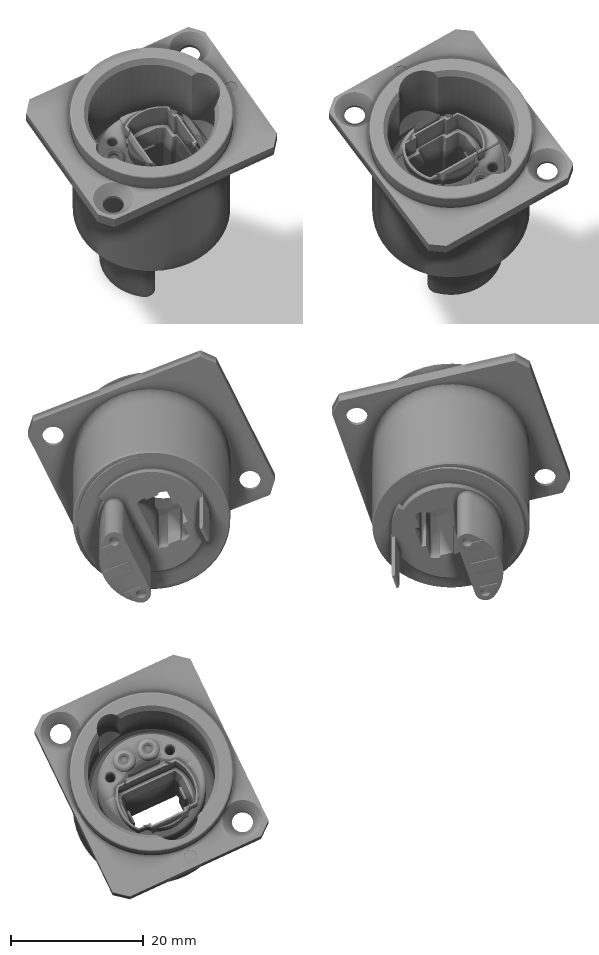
import cadquery as cq
import math


flange_x = 26.0
flange_y = 31.0
flange_thickness = 1.95
corner_cut_x = 2.05
corner_cut_y = 1.7
screw_x = 9.5
screw_y = 12.02
screw_hole_radius = 1.6
countersink_radius = 3.05
countersink_angle = 90
marker_y = 13.8
marker_radius = 1.0
marker_depth = 0.15

total_height = 36.2
rim_radius = 12.3
rim_height = 2.75
rim_round = 0.25
barrel_radius = 11.87
barrel_bottom = -21.55
barrel_chamfer = 0.2

mouth_radius = 10.2
bore_radius = 9.6
mouth_depth = 0.87
bore_depth = 13.25
floor_radius = 9.12
floor_depth = 13.75
bore_end_z = rim_height - bore_depth
floor_z = rim_height - floor_depth

latch_pocket_y = 7.65
latch_pocket_radius = 3.7
key_pocket_x = 2.65
key_pocket_y = -8.65
key_pocket_radius = 2.17
drill_tip_angle = 120
pocket_depth = 11.87
pocket_end_z = rim_height - pocket_depth

insert_radius = 8.2
insert_edge = 0.18
insert_face_z = -7.4
lower_face_z = insert_face_z - 0.35
lower_face_edge_y = -1.0
upper_half_round = 0.55
cap_edge_y = 5.0
cap_height = 0.2

socket_y = 1.95
collar_radius = 5.25
collar_inner_radius = 4.55
collar_top_z = rim_height - 7.4
collar_dish_depth = 1.8
frame_radius = 6.23
frame_half_height = 3.85
frame_top_z = rim_height - 7.95
frame_wall = 0.33
frame_chamfer = 0.15
upper_key_half_width = 3.05
upper_key_top = 6.65
lower_key_half_width = 3.25
lower_key_bottom = -2.57
upper_ramp_run = 0.5
lower_ramp_run = 0.72
key_ramp_drop = 1.45
socket_recess_depth = 4.35
key_recess_wall = 0.25
lead_in_height = 2.9
lead_in_angle = 11
opening_half_width = 4.5
opening_bottom = -0.58
opening_top = 4.4
opening_corner_x = 0.33
opening_corner_y = 0.85
opening_notch_half_width = 1.8
opening_notch_top = 5.18
side_rib_thickness = 0.33
side_rib_length = 2.03

post_x = 2.0
post_y = -5.35
post_base_radius = 1.95
post_base_height = 0.1
post_radius = 1.75
post_height = 0.8
post_round = 0.7
post_bore_radius = 0.65
post_bore_depth = 0.72
post_bore_chamfer = 0.33
vent_x = 4.95
vent_y = -3.95
vent_radius = 0.75
vent_chamfer = 0.18

base_radius = 8.3
base_height = 1.12
base_chamfer = 0.18
base_bottom = barrel_bottom - base_height
sector_radius = 8.98
sector_start = -37
sector_end = 134
washer_radius = 11.1
washer_thickness = 0.4
washer_tilt = 4
washer_hinge_y = -2.9

foot_height = 0.15
foot_bottom = rim_height - total_height
block_bottom = foot_bottom + foot_height
block_inner_y = -2.4
block_outer_radius = 7.9
block_corner_radius = 1.6
foot_inner_y = -3.48
side_foot_outer_y = -6.23
middle_foot_outer_y = -7.55
side_foot_x = 4.2
side_foot_width = 0.87
middle_foot_width = 1.75

tab_width = 2.35
tab_thickness = 0.55
tab_outer_y = 8.98
tab_bottom = -32.4
tab_tip_length = 0.7
tab_tip_thickness = 0.35


def cylinder(radius, bottom, top, x=0, y=0):
    """Vertical cylinder between two Z levels."""
    return cq.Workplane("XY", origin=(x, y, bottom)).circle(radius).extrude(top - bottom)


def block(x_min, x_max, y_min, y_max, bottom, top):
    """Box given by its limits along the three axes."""
    return cq.Workplane("XY").box(
        x_max - x_min, y_max - y_min, top - bottom, centered=False
    ).translate((x_min, y_min, bottom))


def cone(bottom_radius, top_radius, bottom, top, x=0, y=0):
    """Vertical cone frustum between two Z levels."""
    solid = cq.Solid.makeCone(bottom_radius, top_radius, top - bottom, cq.Vector(x, y, bottom))
    return cq.Workplane(solid)


def make_flange():
    half_x = flange_x / 2
    half_y = flange_y / 2
    outline = [
        (half_x, half_y - corner_cut_y),
        (half_x - corner_cut_x, half_y),
        (corner_cut_x - half_x, half_y),
        (-half_x, half_y - corner_cut_y),
        (-half_x, corner_cut_y - half_y),
        (corner_cut_x - half_x, -half_y),
        (half_x - corner_cut_x, -half_y),
        (half_x, corner_cut_y - half_y),
    ]
    flange = cq.Workplane("XY").polyline(outline).close().extrude(-flange_thickness)
    flange = (
        flange.faces(">Z").workplane(origin=(0, 0, 0))
        .pushPoints([(-screw_x, screw_y), (screw_x, -screw_y)])
        .cskHole(2 * screw_hole_radius, 2 * countersink_radius, countersink_angle)
    )
    return flange.cut(cylinder(marker_radius, -marker_depth, 0, y=marker_y))


def drilled_pocket(x, y, radius):
    """Round pocket from the rim, ending in a conical drill tip."""
    tip_height = radius / math.tan(math.radians(drill_tip_angle / 2))
    tip = cone(0, radius, pocket_end_z - tip_height, pocket_end_z, x, y)
    return cylinder(radius, pocket_end_z, rim_height, x, y).union(tip)


def make_housing():
    rim = cylinder(rim_radius, 0, rim_height).faces(">Z").edges().fillet(rim_round)
    barrel = cylinder(barrel_radius, barrel_bottom, 0).faces("<Z").chamfer(barrel_chamfer)
    mouth_end_z = rim_height - mouth_depth
    cavity_profile = [
        (0, floor_z),
        (floor_radius, floor_z),
        (bore_radius, bore_end_z),
        (bore_radius, mouth_end_z),
        (mouth_radius, rim_height),
        (0, rim_height),
    ]
    cavity = cq.Workplane("XZ").polyline(cavity_profile).close().revolve(360, (0, 0), (0, 1))
    return (
        make_flange().union(barrel).union(rim)
        .cut(cavity)
        .cut(drilled_pocket(0, latch_pocket_y, latch_pocket_radius))
        .cut(drilled_pocket(key_pocket_x, key_pocket_y, key_pocket_radius))
    )


def frame_prism(inset, bottom, top):
    """Round socket outline with two flat sides, moved inward by the inset, as a prism."""
    half_height = frame_half_height - inset
    side_limit = frame_radius - inset
    return cylinder(side_limit, bottom, top, y=socket_y).intersect(
        block(-side_limit, side_limit, socket_y - half_height, socket_y + half_height, bottom, top)
    )


def make_key(half_width, end_y, ramp_y):
    """Block beside the frame whose upper face slopes down from ramp_y to end_y."""
    profile = [
        (socket_y, lower_face_z),
        (end_y, lower_face_z),
        (end_y, frame_top_z - key_ramp_drop),
        (ramp_y, frame_top_z),
        (socket_y, frame_top_z),
    ]
    return cq.Workplane("YZ").polyline(profile).close().extrude(half_width, both=True)


def opening_prism(bottom, height, taper):
    """Opening outline with bevelled corners and a latch notch, extruded upward."""
    corner_x = opening_half_width - opening_corner_x
    upper_bevel_y = opening_top - opening_corner_y
    lower_bevel_y = opening_bottom + opening_corner_y
    right_side = [
        (corner_x, opening_bottom),
        (opening_half_width, lower_bevel_y),
        (opening_half_width, upper_bevel_y),
        (corner_x, opening_top),
        (opening_notch_half_width, opening_top),
        (opening_notch_half_width, opening_notch_top),
    ]
    left_side = [(-x, y) for x, y in reversed(right_side)]
    outline = cq.Workplane("XY", origin=(0, 0, bottom)).polyline(right_side + left_side).close()
    return outline.extrude(height, taper=taper)


def make_opening():
    """Through opening that widens upward into the socket recess, with a rib on each side."""
    recess_floor_z = frame_top_z - socket_recess_depth
    straight_top_z = recess_floor_z - lead_in_height
    straight = opening_prism(base_bottom, straight_top_z - base_bottom, 0)
    lead_in = opening_prism(straight_top_z, lead_in_height, -lead_in_angle)
    opening = straight.union(lead_in)
    middle_y = (opening_top + opening_bottom) / 2
    rib_inner_x = opening_half_width - side_rib_thickness
    rib_y_min = middle_y - side_rib_length / 2
    rib_y_max = middle_y + side_rib_length / 2
    right_rib = block(
        rib_inner_x, opening_half_width, rib_y_min, rib_y_max, base_bottom, straight_top_z
    )
    return opening.cut(right_rib).cut(right_rib.mirror("YZ"))


def make_contact_post(x):
    top = lower_face_z + post_height
    base = cylinder(post_base_radius, lower_face_z, lower_face_z + post_base_height, x, post_y)
    dome = cylinder(post_radius, lower_face_z, top, x, post_y).faces(">Z").edges().fillet(post_round)
    bore = cylinder(post_bore_radius, top - post_bore_depth, top, x, post_y)
    lead_in = cone(post_bore_radius, post_bore_radius + post_bore_chamfer,
                   top - post_bore_chamfer, top, x, post_y)
    return base.union(dome).cut(bore).cut(lead_in)


def make_insert_body():
    """Round insert with a raised upper half and a slightly higher cap at its +Y end."""
    r = insert_radius
    base = cylinder(r, floor_z, lower_face_z).faces(">Z").chamfer(insert_edge)
    upper_half = cylinder(r, lower_face_z - insert_edge, insert_face_z).intersect(
        block(-r, r, lower_face_edge_y, r, floor_z, insert_face_z)
    )
    upper_half = upper_half.edges("|Z and <Y").fillet(upper_half_round).faces(">Z").chamfer(insert_edge)
    cap_top = insert_face_z + cap_height
    cap = cylinder(r, lower_face_z, cap_top).intersect(block(-r, r, cap_edge_y, r, floor_z, cap_top))
    return base.union(upper_half).union(cap.faces(">Z").chamfer(insert_edge))


def make_collar():
    """Ring around the socket with a sharp upper edge, a conical inner side and gaps for the keys."""
    collar = cylinder(collar_radius, lower_face_z, collar_top_z, y=socket_y)
    dish = cone(collar_inner_radius, collar_radius, collar_top_z - collar_dish_depth,
                collar_top_z, y=socket_y)
    upper_gap = block(-upper_key_half_width, upper_key_half_width, socket_y, upper_key_top,
                      lower_face_z, collar_top_z)
    lower_gap = block(-lower_key_half_width, lower_key_half_width, lower_key_bottom, socket_y,
                      lower_face_z, collar_top_z)
    return collar.cut(dish).cut(upper_gap).cut(lower_gap)


def make_socket_recess():
    """Recess inside the frame, reaching out to a thin wall along the ridge of each key."""
    bottom = frame_top_z - socket_recess_depth
    upper_limit = upper_key_half_width - frame_wall
    lower_limit = lower_key_half_width - frame_wall
    upper_end = upper_key_top - upper_ramp_run - key_recess_wall
    lower_end = lower_key_bottom + lower_ramp_run + key_recess_wall
    return (
        frame_prism(frame_wall, bottom, collar_top_z)
        .union(block(-upper_limit, upper_limit, socket_y, upper_end, bottom, collar_top_z))
        .union(block(-lower_limit, lower_limit, lower_end, socket_y, bottom, collar_top_z))
    )


def make_insert():
    frame = frame_prism(0, lower_face_z, frame_top_z).faces(">Z").edges().chamfer(frame_chamfer)
    upper_key = make_key(upper_key_half_width, upper_key_top, upper_key_top - upper_ramp_run)
    lower_key = make_key(lower_key_half_width, lower_key_bottom, lower_key_bottom + lower_ramp_run)
    insert = make_insert_body()
    for piece in (make_collar(), frame, upper_key, lower_key):
        insert = insert.union(piece)
    for side in (-1, 1):
        insert = insert.union(make_contact_post(side * post_x))
    return insert.cut(make_socket_recess())


def make_base():
    """Disc behind the barrel with a wider sector around part of its edge."""
    disc = cylinder(base_radius, base_bottom, barrel_bottom).faces("<Z").chamfer(base_chamfer)

    def edge_point(angle):
        turn = math.radians(angle)
        return sector_radius * math.cos(turn), sector_radius * math.sin(turn)

    sector = (
        cq.Workplane("XY", origin=(0, 0, base_bottom))
        .lineTo(*edge_point(sector_start))
        .threePointArc(edge_point((sector_start + sector_end) / 2), edge_point(sector_end))
        .close()
        .extrude(base_height)
    )
    return disc.union(sector)


def make_washer():
    """Washer tilted about X so that only its -Y part stands out of the barrel."""
    washer = cylinder(washer_radius, barrel_bottom - washer_thickness, barrel_bottom)
    hinge_start = (0, washer_hinge_y, barrel_bottom)
    hinge_end = (1, washer_hinge_y, barrel_bottom)
    return washer.rotate(hinge_start, hinge_end, washer_tilt)


def make_plug_block():
    r = block_outer_radius
    plug = cylinder(r, block_bottom, base_bottom).intersect(
        block(-r, r, -r, block_inner_y, block_bottom, base_bottom)
    )
    plug = plug.edges("|Z and >Y").fillet(block_corner_radius)
    feet = [
        (-side_foot_x, side_foot_width, side_foot_outer_y),
        (0, middle_foot_width, middle_foot_outer_y),
        (side_foot_x, side_foot_width, side_foot_outer_y),
    ]
    for x, width, outer_y in feet:
        plug = plug.union(block(
            x - width / 2, x + width / 2, outer_y, foot_inner_y,
            foot_bottom, block_bottom
        ))
    return plug


def make_ground_tab():
    inner_y = tab_outer_y - tab_thickness
    tip_inset = (tab_thickness - tab_tip_thickness) / 2
    tip_top = tab_bottom + tab_tip_length
    profile = [
        (tab_outer_y, barrel_bottom),
        (tab_outer_y, tip_top),
        (tab_outer_y - tip_inset, tab_bottom),
        (inner_y + tip_inset, tab_bottom),
        (inner_y, tip_top),
        (inner_y, barrel_bottom),
    ]
    return cq.Workplane("YZ").polyline(profile).close().extrude(tab_width / 2, both=True)


def make_vent(x):
    hole = cylinder(vent_radius, foot_bottom, lower_face_z, x, vent_y)
    lead_in = cone(vent_radius, vent_radius + vent_chamfer,
                   lower_face_z - vent_chamfer, lower_face_z, x, vent_y)
    return hole.union(lead_in)


result = make_housing().union(make_insert())
for rear_piece in (make_base(), make_washer(), make_plug_block(), make_ground_tab()):
    result = result.union(rear_piece)
result = result.cut(make_opening())
for vent_side in (-1, 1):
    result = result.cut(make_vent(vent_side * vent_x))